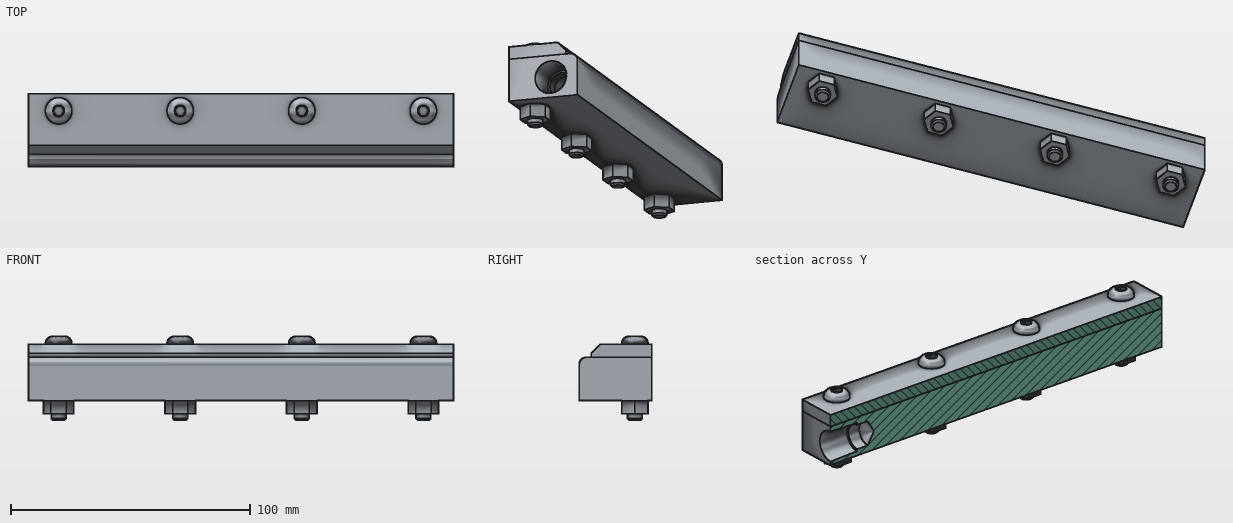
import cadquery as cq
import math

length = 177.8
block_width = 30.48
block_height = 18.16
block_edge_radius = 3.175

plate_width = 25.4
plate_thickness = 5.4
plate_bevel = 3.81
stack_height = block_height + plate_thickness

port_y = -18.65
port_z = 8.75
port_mouth_diameter = 13.9
port_taper = 1 / 16
port_depth = 14.3
port_inner_diameter = port_mouth_diameter - port_taper * port_depth
drill_diameter = 11.11
drill_depth = 20.0
drill_point_angle = 118

screw_count = 4
screw_pitch = 50.8
screw_y = -7.15
screw_diameter = 6.35
screw_length = 31.75
screw_tip_chamfer = 0.8
head_diameter = 11.1
head_height = 3.35
head_rim_height = 0.5
head_flat_diameter = 4.8
socket_across_flats = 3.97
socket_depth = 2.4
socket_mouth_diameter = head_flat_diameter
nut_across_flats = 11.11
nut_height = 5.556

screw_places = [
    ((i - (screw_count - 1) / 2) * screw_pitch, screw_y) for i in range(screw_count)
]


def hexagon_diameter(across_flats):
    """Corner to corner size of a regular hexagon."""
    return across_flats / math.cos(math.pi / 6)


def extrude_along_length(profile):
    """Sweep a closed YZ profile symmetrically along X."""
    return profile.extrude(length / 2, both=True)


def drill_screw_holes(body):
    """Cut the row of screw holes through the full height of a body."""
    holes = cq.Workplane("XY").pushPoints(screw_places).circle(screw_diameter / 2).extrude(stack_height)
    return body.cut(holes)


def make_port():
    """Tool body of the port: taper, drilled hole and drill point, revolved about its X axis."""
    drill_radius = drill_diameter / 2
    point_length = drill_radius / math.tan(math.radians(drill_point_angle / 2))
    return (
        cq.Workplane("XY")
        .lineTo(0, port_mouth_diameter / 2)
        .lineTo(port_depth, port_inner_diameter / 2)
        .lineTo(port_depth, drill_radius)
        .lineTo(drill_depth, drill_radius)
        .lineTo(drill_depth + point_length, 0)
        .close()
        .revolve(360, (0, 0, 0), (1, 0, 0))
        .translate((-length / 2, port_y, port_z))
    )


def make_block():
    """Block with a rounded upper front edge, a port and screw holes."""
    profile = (
        cq.Workplane("YZ")
        .lineTo(0, block_height)
        .lineTo(block_edge_radius - block_width, block_height)
        .radiusArc((-block_width, block_height - block_edge_radius), -block_edge_radius)
        .lineTo(-block_width, 0)
        .close()
    )
    return drill_screw_holes(extrude_along_length(profile).cut(make_port()))


def make_plate():
    """Clamp plate with a bevelled upper front edge and screw holes."""
    profile = (
        cq.Workplane("YZ")
        .moveTo(0, block_height)
        .lineTo(0, stack_height)
        .lineTo(plate_bevel - plate_width, stack_height)
        .lineTo(-plate_width, stack_height - plate_bevel)
        .lineTo(-plate_width, block_height)
        .close()
    )
    return drill_screw_holes(extrude_along_length(profile))


def make_socket():
    """Tool body of the hex socket with a 45 degree lead-in at the top of the head."""
    top = stack_height + head_height
    hexagon = (
        cq.Workplane("XY", origin=(0, 0, top - socket_depth))
        .polygon(6, hexagon_diameter(socket_across_flats))
        .extrude(socket_depth)
    )
    mouth_radius = socket_mouth_diameter / 2
    inner_radius = socket_across_flats / 2
    lead_in = cq.Solid.makeCone(
        mouth_radius, inner_radius, mouth_radius - inner_radius, (0, 0, top), (0, 0, -1)
    )
    return hexagon.union(cq.Workplane(lead_in))


def make_screw(x, y):
    """Button head screw whose head rests on the plate."""
    tip = stack_height - screw_length
    shank_radius = screw_diameter / 2
    head_radius = head_diameter / 2
    flat_radius = head_flat_diameter / 2
    rim_top = stack_height + head_rim_height
    head_top = stack_height + head_height

    dome_run = head_radius - flat_radius
    dome_rise = head_top - rim_top
    dome_radius = (dome_run**2 + dome_rise**2) / (2 * dome_rise)

    body = (
        cq.Workplane("XZ")
        .moveTo(0, tip)
        .lineTo(shank_radius - screw_tip_chamfer, tip)
        .lineTo(shank_radius, tip + screw_tip_chamfer)
        .lineTo(shank_radius, stack_height)
        .lineTo(head_radius, stack_height)
        .lineTo(head_radius, rim_top)
        .radiusArc((flat_radius, head_top), -dome_radius)
        .lineTo(0, head_top)
        .close()
        .revolve(360, (0, 0, 0), (0, 1, 0))
    )
    return body.cut(make_socket()).translate((x, y, 0))


def make_nut(x, y):
    """Hex nut under the block, with flats facing front and back."""
    return (
        cq.Workplane("XY", origin=(x, y, -nut_height))
        .polygon(6, hexagon_diameter(nut_across_flats))
        .circle(screw_diameter / 2)
        .extrude(nut_height)
    )


block = make_block()
plate = make_plate()
screws = [make_screw(x, y) for x, y in screw_places]
nuts = [make_nut(x, y) for x, y in screw_places]

result = cq.Compound.makeCompound(
    [block.val(), plate.val()] + [screw.val() for screw in screws] + [nut.val() for nut in nuts]
)